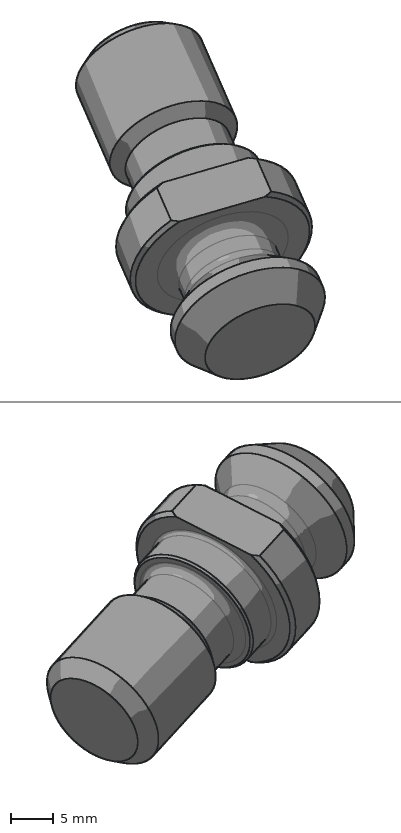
import cadquery as cq
import math

shank_radius = 16.0 / 2
relief_radius = 13.1 / 2
collar_radius = 17.0 / 2
flange_radius = 22.8 / 2
neck_radius = 12.4 / 2
head_radius = 18.8 / 2
head_tip_radius = 6.9

total_length = 44.15
shank_end = 13.75
collar_start = 20.55
flange_start = 24.95
flange_width = 6.0
flange_end = flange_start + flange_width
head_rim_start = 39.05
head_rim_width = 1.6
head_rim_end = head_rim_start + head_rim_width

shank_chamfer = 1.75
collar_chamfer = 0.25
flange_chamfer = 0.5
relief_fillet = 1.0
collar_fillet = 0.5
neck_fillet = 2.0
head_fillet = 2.0
head_cone_angle = math.radians(45)

across_flats = 19.05


def fillet_up_to_face(profile, face_x, base_radius, fillet):
    """Run along a cylinder and blend up into the face that ends it."""
    arc_shift = fillet * math.sin(math.pi / 4)
    return (
        profile.lineTo(face_x - fillet, base_radius)
        .threePointArc(
            (face_x - fillet + arc_shift, base_radius + fillet - arc_shift),
            (face_x, base_radius + fillet),
        )
    )


def fillet_down_from_face(profile, face_x, base_radius, fillet):
    """Run down a face and blend into the cylinder that follows it."""
    arc_shift = fillet * math.sin(math.pi / 4)
    return (
        profile.lineTo(face_x, base_radius + fillet)
        .threePointArc(
            (face_x + fillet - arc_shift, base_radius + fillet - arc_shift),
            (face_x + fillet, base_radius),
        )
    )


def fillet_into_head_cone(profile):
    """Blend the neck tangentially into the cone under the head rim."""
    cone_start_radius = neck_radius + head_fillet * (1 - math.cos(head_cone_angle))
    cone_length = (head_radius - cone_start_radius) / math.tan(head_cone_angle)
    cone_start = head_rim_start - cone_length
    neck_end = cone_start - head_fillet * math.sin(head_cone_angle)
    half_angle = head_cone_angle / 2
    return (
        profile.lineTo(neck_end, neck_radius)
        .threePointArc(
            (
                neck_end + head_fillet * math.sin(half_angle),
                neck_radius + head_fillet * (1 - math.cos(half_angle)),
            ),
            (cone_start, cone_start_radius),
        )
        .lineTo(head_rim_start, head_radius)
    )


def turned_body():
    """Revolve the half profile about the X axis."""
    profile = (
        cq.Workplane("XY")
        .moveTo(0, 0)
        .lineTo(0, shank_radius - shank_chamfer)
        .lineTo(shank_chamfer, shank_radius)
        .lineTo(shank_end, shank_radius)
        .lineTo(shank_end + shank_radius - relief_radius, relief_radius)
    )
    profile = fillet_up_to_face(profile, collar_start, relief_radius, relief_fillet)
    profile = (
        profile.lineTo(collar_start, collar_radius - collar_chamfer)
        .lineTo(collar_start + collar_chamfer, collar_radius)
    )
    profile = fillet_up_to_face(profile, flange_start, collar_radius, collar_fillet)
    profile = (
        profile.lineTo(flange_start, flange_radius - flange_chamfer)
        .lineTo(flange_start + flange_chamfer, flange_radius)
        .lineTo(flange_end - flange_chamfer, flange_radius)
        .lineTo(flange_end, flange_radius - flange_chamfer)
    )
    profile = fillet_down_from_face(profile, flange_end, neck_radius, neck_fillet)
    profile = fillet_into_head_cone(profile)
    profile = (
        profile.lineTo(head_rim_end, head_radius)
        .lineTo(total_length, head_tip_radius)
        .lineTo(total_length, 0)
        .close()
    )
    return profile.revolve(360, (0, 0, 0), (1, 0, 0))


def between_flats():
    """Slab that trims the flange to its two flats, normal to Z."""
    return cq.Workplane("XY").box(
        total_length, 2 * flange_radius, across_flats, centered=(False, True, True)
    )


result = turned_body().intersect(between_flats())